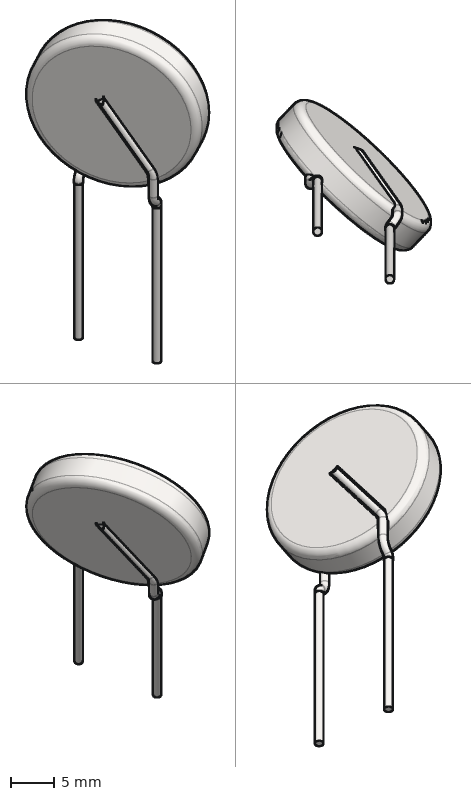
import cadquery as cq
import math

disc_diameter = 21.4
disc_thickness = 4.55
disc_edge_radius = 1.0

overall_depth = 5.2
overall_height = 46.4
wire_diameter = 1.0
sleeve_diameter = 1.1
lead_pitch = 10.0
lead_turns = [0, 180]
wire_offset = 0.75

tip_x = -1.05
tip_z = 1.35
tip_bevel_angle = 60.0
slant_start_z = -8.07
slant_bend_radius = 2.0

s_bend_angle = 60.0
s_bend_upper_radius = 1.85
sleeve_tail = 0.25

groove_clearance = 0.1

disc_radius = disc_diameter / 2
lead_x = lead_pitch / 2
face_y = -(overall_depth - sleeve_diameter) / 2
lower_y = -wire_offset
s_bend_top_z = -disc_radius
wire_bottom_z = disc_radius - overall_height

bend_cos = math.cos(math.radians(s_bend_angle))
bend_sin = math.sin(math.radians(s_bend_angle))
s_bend_lower_radius = (lower_y - face_y) / (1 - bend_cos) - s_bend_upper_radius
s_bend_bottom_z = s_bend_top_z - (s_bend_upper_radius + s_bend_lower_radius) * bend_sin
groove_diameter = sleeve_diameter + 2 * groove_clearance
buried_tip_length = groove_diameter * math.tan(math.radians(tip_bevel_angle))
sleeve_bottom_z = s_bend_bottom_z - sleeve_tail


def slant_bend_end(angle):
    """X and Z where the bend has turned by the angle from vertical towards -X."""
    x = lead_x - slant_bend_radius * (1 - math.cos(angle))
    z = slant_start_z + slant_bend_radius * math.sin(angle)
    return x, z


def slant_angle():
    """Angle from vertical of the line from the tip that is tangent to the slant bend."""
    run = tip_x - (lead_x - slant_bend_radius)
    rise = tip_z - slant_start_z
    return math.atan2(rise, run) - math.acos(slant_bend_radius / math.hypot(run, rise))


def slant_point(distance, y):
    """Point at the distance past the tip along the slant, at the given Y."""
    slant = slant_angle()
    return tip_x - distance * math.sin(slant), y, tip_z + distance * math.cos(slant)


def s_bend_point(upper_turn, lower_turn):
    """Point on the S-bend after turning by the given angles on its two arcs."""
    y = face_y + s_bend_upper_radius * (1 - math.cos(upper_turn))
    z = s_bend_top_z - s_bend_upper_radius * math.sin(upper_turn)
    y += s_bend_lower_radius * (math.cos(upper_turn - lower_turn) - math.cos(upper_turn))
    z -= s_bend_lower_radius * (math.sin(upper_turn) - math.sin(upper_turn - lower_turn))
    return lead_x, y, z


def lead_path(bottom_z):
    """Centre line of the front lead from its buried tip end down to the given height."""
    slant = slant_angle()
    half_x, half_z = slant_bend_end(slant / 2)
    bend_x, bend_z = slant_bend_end(slant)
    s_turn = math.radians(s_bend_angle)

    buried_tip = cq.Vector(*slant_point(buried_tip_length, face_y))
    slant_end = cq.Vector(bend_x, face_y, bend_z)
    slant_middle = cq.Vector(half_x, face_y, half_z)
    face_top = cq.Vector(lead_x, face_y, slant_start_z)
    s_top = cq.Vector(lead_x, face_y, s_bend_top_z)
    s_upper = cq.Vector(*s_bend_point(s_turn / 2, 0))
    s_middle = cq.Vector(*s_bend_point(s_turn, 0))
    s_lower = cq.Vector(*s_bend_point(s_turn, s_turn / 2))
    s_bottom = cq.Vector(lead_x, lower_y, s_bend_bottom_z)
    bottom = cq.Vector(lead_x, lower_y, bottom_z)
    edges = [
        cq.Edge.makeLine(buried_tip, slant_end),
        cq.Edge.makeThreePointArc(slant_end, slant_middle, face_top),
        cq.Edge.makeLine(face_top, s_top),
        cq.Edge.makeThreePointArc(s_top, s_upper, s_middle),
        cq.Edge.makeThreePointArc(s_middle, s_lower, s_bottom),
        cq.Edge.makeLine(s_bottom, bottom),
    ]
    return cq.Wire.assembleEdges(edges)


def lead_rod(diameter, bottom_z):
    """Round rod along the lead, its tip cut to the bevel plane."""
    path = lead_path(bottom_z)
    start_plane = cq.Plane(path.startPoint(), (0, 1, 0), path.tangentAt(0))
    rod = cq.Workplane(start_plane).circle(diameter / 2).sweep(cq.Workplane(path))

    bevel = math.radians(tip_bevel_angle)
    slant = slant_angle()
    normal = cq.Vector(
        -math.cos(bevel) * math.sin(slant), -math.sin(bevel), math.cos(bevel) * math.cos(slant)
    )
    outer_edge = cq.Vector(*slant_point(0, -overall_depth / 2))
    bevel_plane = cq.Plane(outer_edge, (0, 1, 0), normal)
    waste_size = 2 * groove_diameter
    waste = cq.Workplane(bevel_plane).circle(waste_size).extrude(waste_size)
    return rod.cut(waste)


def turned(body, turn):
    """The body turned about the Z axis."""
    return body.rotate((0, 0, 0), (0, 0, 1), turn)


def make_wire():
    """Bare round wire over the whole length of the lead."""
    return lead_rod(wire_diameter, wire_bottom_z)


def make_sleeve():
    """Thin insulating tube around the upper part of the wire."""
    return lead_rod(sleeve_diameter, sleeve_bottom_z).cut(make_wire())


def make_disc():
    """Rounded disc with a groove in each face for a sleeved lead."""
    disc = (
        cq.Workplane("XZ", origin=(0, disc_thickness / 2, 0))
        .circle(disc_radius)
        .extrude(disc_thickness)
        .edges("%CIRCLE")
        .fillet(disc_edge_radius)
    )
    groove = lead_rod(groove_diameter, sleeve_bottom_z)
    for turn in lead_turns:
        disc = disc.cut(turned(groove, turn))
    return disc


disc = make_disc()
wires = []
sleeves = []
for turn in lead_turns:
    wires.append(turned(make_wire(), turn))
    sleeves.append(turned(make_sleeve(), turn))

result = cq.Compound.makeCompound(
    [disc.val()] + [wire.val() for wire in wires] + [sleeve.val() for sleeve in sleeves]
)